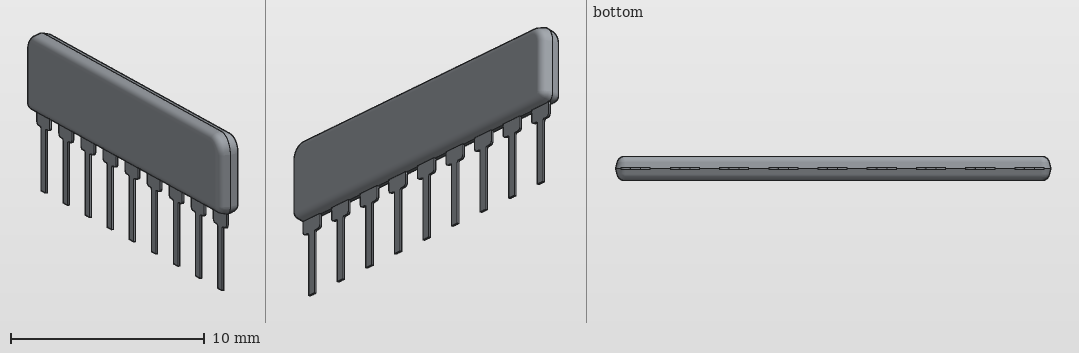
import cadquery as cq


body_length = 22.5
body_thickness = 1.25
body_height = 4.3
draft_angle = 15.0
top_corner_radius = 1.01
bottom_corner_radius = 0.5
edge_radius = 0.4

overall_height = 8.5
lead_count = 9
lead_pitch = 2.55
row_center = -0.034
lead_width = 0.52
lead_thickness = 0.11
shoulder_width = 1.5
shoulder_drop = 0.76
shoulder_corner_radius = 0.2
shoulder_root_radius = 0.11
lead_embedment = 0.45

lead_length = overall_height - body_height


def make_body_half():
    """Front half of the body, from the middle plane to the front face."""
    half = (
        cq.Workplane("XZ")
        .center(0, body_height / 2)
        .sketch()
        .rect(body_length, body_height)
        .vertices(">Y")
        .fillet(top_corner_radius)
        .reset()
        .vertices("<Y")
        .fillet(bottom_corner_radius)
        .finalize()
        .extrude(body_thickness / 2, taper=draft_angle)
    )
    return half.faces("<Y").edges().fillet(edge_radius)


def make_lead(x):
    """One lead: a wide shoulder below the body, stepping down to a narrow pin."""
    half_shoulder = shoulder_width / 2
    half_pin = lead_width / 2
    right_half = (
        cq.Workplane("XZ")
        .moveTo(0, lead_embedment)
        .lineTo(half_shoulder, lead_embedment)
        .lineTo(half_shoulder, shoulder_corner_radius - shoulder_drop)
        .radiusArc((half_shoulder - shoulder_corner_radius, -shoulder_drop), shoulder_corner_radius)
        .lineTo(half_pin + shoulder_root_radius, -shoulder_drop)
        .radiusArc((half_pin, -shoulder_drop - shoulder_root_radius), -shoulder_root_radius)
        .lineTo(half_pin, -lead_length)
        .lineTo(0, -lead_length)
    )
    return right_half.mirrorY().extrude(lead_thickness / 2, both=True).translate((x, 0, 0))


front_half = make_body_half()
result = front_half.union(front_half.mirror("XZ"))
row_start = row_center - lead_pitch * (lead_count - 1) / 2
for index in range(lead_count):
    result = result.union(make_lead(row_start + index * lead_pitch))